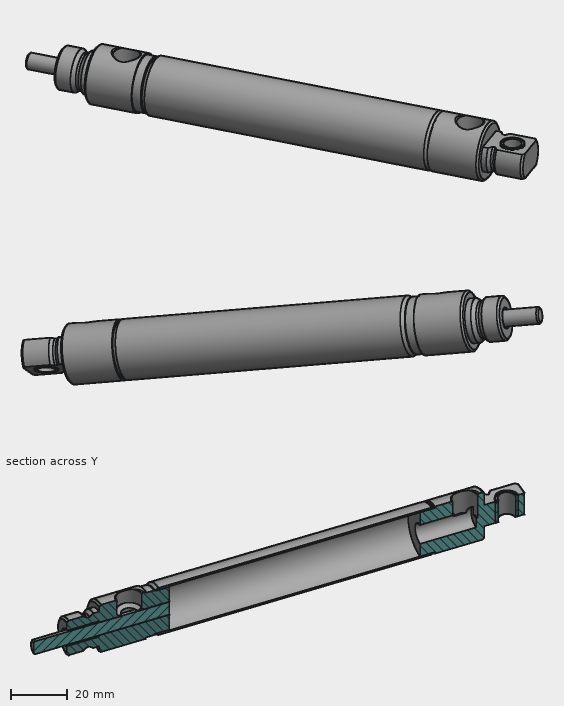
import cadquery as cq
import math

TOTAL_LENGTH = 191.3
BODY_RADIUS = 11.0
EDGE_CHAMFER = 0.8

ROD_RADIUS = 3.0
ROD_CHAMFER = 0.5

NOSE_START = 12.8
NOSE_RADIUS = 8.0
RELIEF_RADIUS = 3.5
RELIEF_CHAMFER = 0.4
SHOULDER_X = 25.5
NECK_START = 43.6
NECK_RADIUS = 10.3
NECK_CHAMFER = 0.4
NOSE_GROOVE_X = 21.2
NOSE_GROOVE_WIDTH = 4.0
FRONT_PORT_X = 37.3

TUBE_START = 47.3
TUBE_END = 156.3
TUBE_BORE_RADIUS = NECK_RADIUS - NECK_CHAMFER
TUBE_END_RADIUS = 10.1
TUBE_CHAMFER_LENGTH = 1.3
PLUG_LENGTH = 5.7

CAP_END = 175.6
TANG_THICKNESS = 10.0
TANG_CHAMFER = 0.8
TANG_GROOVE_X = 179.3
TANG_GROOVE_WIDTH = 3.3
REAR_PORT_X = 168.2
CHAMBER_RADIUS = 4.2
CHAMBER_END = 172.4
MOUNT_HOLE_X = 184.5

BUSH_RADIUS = 4.4
BUSH_BORE_RADIUS = 3.3
BUSH_CHAMFER = 0.4

GROOVE_DEPTH = 1.1
GROOVE_BOTTOM = 1.0

PORT_RADIUS = 4.8
PORT_CHAMFER = 0.5
PORT_TIP_ANGLE = 118.0

FRONT_PLUG_END = TUBE_START + PLUG_LENGTH
REAR_PLUG_START = TUBE_END - PLUG_LENGTH
FLAT_Z = TANG_THICKNESS / 2
FRONT_PORT_FLOOR = ROD_RADIUS + (PORT_RADIUS - ROD_RADIUS) / math.tan(math.radians(PORT_TIP_ANGLE / 2))


def revolve_profile(points):
    """Revolve a closed outline of (x, radius) points about the X axis."""
    return cq.Workplane("XY").polyline(points).close().revolve(360, (0, 0, 0), (1, 0, 0))


def cylinder_x(radius, start, end):
    return cq.Workplane("YZ", origin=(start, 0, 0)).circle(radius).extrude(end - start)


def cylinder_z(radius):
    """Vertical cylinder at the cross hole, reaching from flat to flat of the tang."""
    return cq.Workplane("XY", origin=(MOUNT_HOLE_X, 0, -FLAT_Z)).circle(radius).extrude(TANG_THICKNESS)


def revolve_about_z(x, points):
    """Revolve a closed outline of (radius, z) points about a vertical axis at x."""
    outline = cq.Workplane("XZ", origin=(x, 0, 0)).polyline(points).close()
    return outline.revolve(360, (0, 0, 0), (0, 1, 0))


def relief_groove(x, width):
    """Ring-shaped cutter for a groove centred at x on the nose or the tang."""
    half_bottom = GROOVE_BOTTOM / 2
    half_top = width / 2
    floor_radius = NOSE_RADIUS - GROOVE_DEPTH
    return revolve_profile([
        (x - half_bottom, floor_radius),
        (x + half_bottom, floor_radius),
        (x + half_top, NOSE_RADIUS),
        (x + half_top, BODY_RADIUS),
        (x - half_top, BODY_RADIUS),
        (x - half_top, NOSE_RADIUS),
    ])


def port(x, floor_z):
    """Cutter for a flat-bottomed port with a chamfered mouth on the top of the body."""
    mouth_radius = PORT_RADIUS + PORT_CHAMFER
    return revolve_about_z(x, [
        (0, floor_z),
        (PORT_RADIUS, floor_z),
        (PORT_RADIUS, BODY_RADIUS - PORT_CHAMFER),
        (mouth_radius, BODY_RADIUS),
        (0, BODY_RADIUS),
    ])


def rod_opening(x):
    """Cutter for the conical port floor and the hole that carries it down to the rod."""
    return revolve_about_z(x, [
        (0, 0),
        (ROD_RADIUS, 0),
        (ROD_RADIUS, ROD_RADIUS),
        (PORT_RADIUS, FRONT_PORT_FLOOR),
        (0, FRONT_PORT_FLOOR),
    ])


def make_rod():
    rod = cylinder_x(ROD_RADIUS, 0, FRONT_PLUG_END)
    return rod.faces("<X").chamfer(ROD_CHAMFER)


def make_front_head():
    head = revolve_profile([
        (SHOULDER_X, ROD_RADIUS),
        (SHOULDER_X, RELIEF_RADIUS),
        (NOSE_START + RELIEF_CHAMFER, RELIEF_RADIUS),
        (NOSE_START, RELIEF_RADIUS + RELIEF_CHAMFER),
        (NOSE_START, NOSE_RADIUS - EDGE_CHAMFER),
        (NOSE_START + EDGE_CHAMFER, NOSE_RADIUS),
        (SHOULDER_X, NOSE_RADIUS),
        (SHOULDER_X, BODY_RADIUS - EDGE_CHAMFER),
        (SHOULDER_X + EDGE_CHAMFER, BODY_RADIUS),
        (NECK_START, BODY_RADIUS),
        (NECK_START, NECK_RADIUS),
        (TUBE_START - NECK_CHAMFER, NECK_RADIUS),
        (TUBE_START, TUBE_BORE_RADIUS),
        (FRONT_PLUG_END, TUBE_BORE_RADIUS),
        (FRONT_PLUG_END, ROD_RADIUS),
    ])
    head = head.cut(relief_groove(NOSE_GROOVE_X, NOSE_GROOVE_WIDTH))
    head = head.cut(port(FRONT_PORT_X, FRONT_PORT_FLOOR))
    return head.cut(rod_opening(FRONT_PORT_X))


def make_tube():
    return revolve_profile([
        (TUBE_START, TUBE_BORE_RADIUS),
        (TUBE_START, TUBE_END_RADIUS),
        (TUBE_START + TUBE_CHAMFER_LENGTH, BODY_RADIUS),
        (TUBE_END - TUBE_CHAMFER_LENGTH, BODY_RADIUS),
        (TUBE_END, TUBE_END_RADIUS),
        (TUBE_END, TUBE_BORE_RADIUS),
    ])


def make_tang():
    """Round bar flattened above and below, with a cross hole for the bush."""
    tang = cylinder_x(NOSE_RADIUS, CAP_END, TOTAL_LENGTH).faces(">X").chamfer(TANG_CHAMFER)
    tang = tang.cut(relief_groove(TANG_GROOVE_X, TANG_GROOVE_WIDTH))
    tang_length = TOTAL_LENGTH - CAP_END
    flats = cq.Workplane("XY").box(tang_length, 2 * NOSE_RADIUS, TANG_THICKNESS)
    tang = tang.intersect(flats.translate((CAP_END + tang_length / 2, 0, 0)))
    return tang.cut(cylinder_z(BUSH_RADIUS))


def make_bush():
    bush = cylinder_z(BUSH_RADIUS).faces("<Z or >Z").chamfer(BUSH_CHAMFER)
    return bush.cut(cylinder_z(BUSH_BORE_RADIUS))


def make_rear_cap():
    cap = revolve_profile([
        (REAR_PLUG_START, 0),
        (REAR_PLUG_START, TUBE_BORE_RADIUS),
        (TUBE_END, TUBE_BORE_RADIUS),
        (TUBE_END, BODY_RADIUS),
        (CAP_END - EDGE_CHAMFER, BODY_RADIUS),
        (CAP_END, BODY_RADIUS - EDGE_CHAMFER),
        (CAP_END, 0),
    ])
    cap = cap.union(make_tang())
    cap = cap.cut(cylinder_x(CHAMBER_RADIUS, REAR_PLUG_START, CHAMBER_END))
    return cap.cut(port(REAR_PORT_X, 0))


rod = make_rod()
front_head = make_front_head()
tube = make_tube()
rear_cap = make_rear_cap()
bush = make_bush()

result = cq.Compound.makeCompound([
    rod.val(),
    front_head.val(),
    tube.val(),
    rear_cap.val(),
    bush.val(),
])